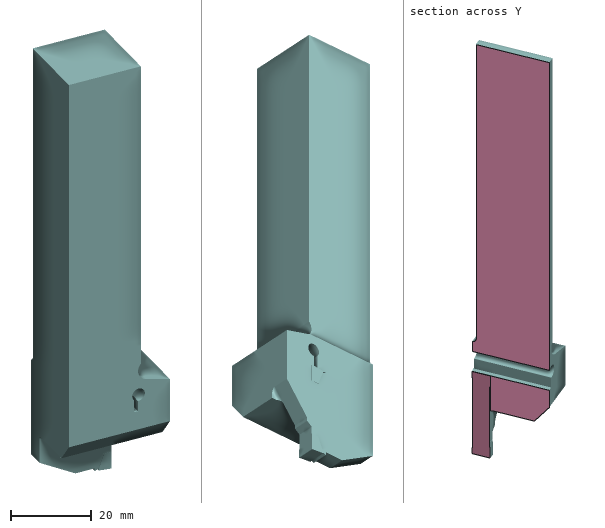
import cadquery as cq
import math

TOTAL_LENGTH = 125.0
SHANK_DEPTH = 20.0
SHANK_LEFT = 1.19
SHANK_RIGHT = 21.0

HEAD_WIDTH = 5.0
HEAD_PROUD = 0.19
HEAD_STEP = 0.06

BLADE_LEFT = HEAD_PROUD
BLADE_RIGHT = HEAD_WIDTH - HEAD_PROUD
BLOCK_BOTTOM = 14.8
BLOCK_CHAMFER_X = 4.1
BLOCK_CHAMFER_Z = 5.4
CORNER_RADIUS = 1.0
SHOULDER_TOP = 34.4
SHOULDER_RADIUS = 1.2
BLADE_BOTTOM = 1.19
HEEL_LENGTH = 10.0
HEEL_ANGLE = 30.0

JAW_Y = 28.1
JAW_TOP = 32.2
JAW_TOP_ANGLE = 15.0
JAW_NOSE = 17.6
JAW_SLOPE_RUN = 5.3
JAW_SLOPE_DROP = 7.0
RELIEF_RADIUS = 3.0
RELIEF_DEPTH = 0.8

SLOT_HOLE_Y = 19.4
SLOT_HOLE_Z = 30.1
SLOT_HOLE_RADIUS = 1.8
SLOT_Y = 18.6
SLOT_WIDTH = 1.1

INSERT_BACK = 15.4
INSERT_TOP = SHANK_DEPTH
INSERT_LENGTH = 25.4
INSERT_MID = INSERT_LENGTH / 2
BACK_SETBACK = 0.4
NOTCH_Y = 16.4
NOTCH_SETBACK = 0.8
RIDGE_HEIGHT = 1.5
RIDGE_HALF_LENGTH = 4.8
RIDGE_HALF_BASE = 5.9
HEAD_LENGTH = 4.8
HEAD_INNER_Y = 17.9
HEAD_BEND_Y = 17.2
HEAD_BEND_Z = 2.9


def side_prism(points, left, right):
    """Extrude a closed (y, z) outline from x = left to x = right."""
    return cq.Workplane("YZ").workplane(offset=left).polyline(points).close().extrude(right - left)


def thickness_profile():
    """Outline across X: shank, shoulder fillet, blade and block, extruded through all of Y."""
    shoulder_diagonal = SHOULDER_RADIUS * math.sqrt(0.5)
    root_diagonal = CORNER_RADIUS * math.sqrt(0.5)
    shoulder_center_x = SHANK_LEFT - SHOULDER_RADIUS
    shoulder_center_z = SHOULDER_TOP + SHOULDER_RADIUS
    reach = BLADE_LEFT - shoulder_center_x
    shoulder_end_z = shoulder_center_z - math.sqrt(SHOULDER_RADIUS**2 - reach**2)
    root_center_x = BLADE_RIGHT + CORNER_RADIUS
    root_center_z = BLOCK_BOTTOM - CORNER_RADIUS
    return (
        cq.Workplane("XZ")
        .moveTo(BLADE_LEFT, 0)
        .lineTo(BLADE_RIGHT, 0)
        .lineTo(BLADE_RIGHT, root_center_z)
        .threePointArc(
            (root_center_x - root_diagonal, root_center_z + root_diagonal),
            (root_center_x, BLOCK_BOTTOM),
        )
        .lineTo(SHANK_RIGHT - BLOCK_CHAMFER_X, BLOCK_BOTTOM)
        .lineTo(SHANK_RIGHT, BLOCK_BOTTOM + BLOCK_CHAMFER_Z)
        .lineTo(SHANK_RIGHT, TOTAL_LENGTH)
        .lineTo(SHANK_LEFT, TOTAL_LENGTH)
        .lineTo(SHANK_LEFT, shoulder_center_z)
        .threePointArc(
            (shoulder_center_x + shoulder_diagonal, shoulder_center_z - shoulder_diagonal),
            (BLADE_LEFT, shoulder_end_z),
        )
        .close()
        .extrude(-JAW_Y)
    )


def side_profile():
    """Outline across Y: shank, round relief above the jaw, jaw and heel, extruded through all of X."""
    slope = math.radians(JAW_TOP_ANGLE)
    center_y = SHANK_DEPTH - RELIEF_DEPTH + RELIEF_RADIUS
    tangent_y = center_y - RELIEF_RADIUS * math.sin(slope)
    tangent_z = JAW_TOP + (JAW_Y - tangent_y) * math.tan(slope)
    center_z = tangent_z + RELIEF_RADIUS * math.cos(slope)
    relief_rise = math.sqrt(RELIEF_RADIUS**2 - (center_y - SHANK_DEPTH) ** 2)
    heel_top = BLADE_BOTTOM + HEEL_LENGTH * math.tan(math.radians(HEEL_ANGLE))
    return (
        cq.Workplane("YZ")
        .moveTo(0, heel_top)
        .lineTo(HEEL_LENGTH, BLADE_BOTTOM)
        .lineTo(JAW_Y, BLADE_BOTTOM)
        .lineTo(JAW_Y, JAW_TOP)
        .lineTo(tangent_y, tangent_z)
        .threePointArc((center_y - RELIEF_RADIUS, center_z), (SHANK_DEPTH, center_z + relief_rise))
        .lineTo(SHANK_DEPTH, TOTAL_LENGTH)
        .lineTo(0, TOTAL_LENGTH)
        .close()
        .extrude(SHANK_RIGHT)
    )


def jaw_slope_cut():
    """Cut below the sloping jaw, with a rounded inner corner along the slope."""
    slope_end_y = JAW_Y - JAW_NOSE * JAW_SLOPE_RUN / JAW_SLOPE_DROP
    outline = [(JAW_Y, JAW_NOSE), (slope_end_y, 0), (JAW_Y, 0)]
    cut = side_prism(outline, 0, BLADE_RIGHT + CORNER_RADIUS)
    slope_middle = (BLADE_RIGHT + CORNER_RADIUS, (JAW_Y + slope_end_y) / 2, JAW_NOSE / 2)
    return cut.edges(cq.selectors.NearestToPointSelector(slope_middle)).fillet(CORNER_RADIUS)


def flex_slot():
    """Round hole and narrow slot that let the jaw flex onto the insert."""
    hole = cq.Workplane("YZ").center(SLOT_HOLE_Y, SLOT_HOLE_Z).circle(SLOT_HOLE_RADIUS).extrude(SHANK_RIGHT)
    slot = cq.Workplane("XY").box(
        SHANK_RIGHT, SLOT_WIDTH, SLOT_HOLE_Z - INSERT_LENGTH, centered=(False, True, False)
    )
    return hole.union(slot.translate((0, SLOT_Y, INSERT_LENGTH)))


def ridge_points():
    """Ridge on the insert's upper side, from its top end to its bottom end."""
    ridge_y = INSERT_TOP + RIDGE_HEIGHT
    return [
        (INSERT_TOP, INSERT_MID + RIDGE_HALF_BASE),
        (ridge_y, INSERT_MID + RIDGE_HALF_LENGTH),
        (ridge_y, INSERT_MID - RIDGE_HALF_LENGTH),
        (INSERT_TOP, INSERT_MID - RIDGE_HALF_BASE),
    ]


def insert_pocket():
    outline = [
        (INSERT_BACK, 0),
        (INSERT_BACK, INSERT_LENGTH - BACK_SETBACK),
        (NOTCH_Y, INSERT_LENGTH - BACK_SETBACK),
        (INSERT_TOP, INSERT_LENGTH),
        *ridge_points(),
        (INSERT_TOP, 0),
    ]
    return side_prism(outline, 0, HEAD_WIDTH)


def make_holder():
    holder = thickness_profile().intersect(side_profile())
    return holder.cut(jaw_slope_cut()).cut(flex_slot()).cut(insert_pocket())


def insert_head():
    """Lower cutting head, flaring in width towards its tip."""
    side = side_prism(
        [
            (INSERT_TOP, 0),
            (INSERT_TOP, HEAD_LENGTH),
            (HEAD_INNER_Y, HEAD_LENGTH),
            (HEAD_BEND_Y, HEAD_BEND_Z),
            (NOTCH_Y, NOTCH_SETBACK),
            (NOTCH_Y, BACK_SETBACK),
        ],
        0,
        HEAD_WIDTH,
    )
    inner_left = BLADE_LEFT - HEAD_STEP
    inner_right = BLADE_RIGHT + HEAD_STEP
    flare = (
        cq.Workplane("XZ")
        .polyline([(0, 0), (HEAD_WIDTH, 0), (inner_right, HEAD_LENGTH), (inner_left, HEAD_LENGTH)])
        .close()
        .extrude(-INSERT_TOP)
    )
    return side.intersect(flare)


def make_insert():
    """Double-ended cutting insert."""
    outline = [
        (INSERT_BACK, BACK_SETBACK),
        (INSERT_BACK, INSERT_LENGTH - BACK_SETBACK),
        (NOTCH_Y, INSERT_LENGTH - NOTCH_SETBACK),
        (INSERT_TOP, INSERT_LENGTH - NOTCH_SETBACK),
        *ridge_points(),
        (INSERT_TOP, NOTCH_SETBACK),
        (NOTCH_Y, NOTCH_SETBACK),
    ]
    body = side_prism(outline, BLADE_LEFT, BLADE_RIGHT)
    lower_head = insert_head()
    upper_head = lower_head.mirror("XY", (0, 0, INSERT_MID))
    return body.union(lower_head).union(upper_head)


holder = make_holder()
insert = make_insert()
result = cq.Compound.makeCompound([holder.val(), insert.val()])